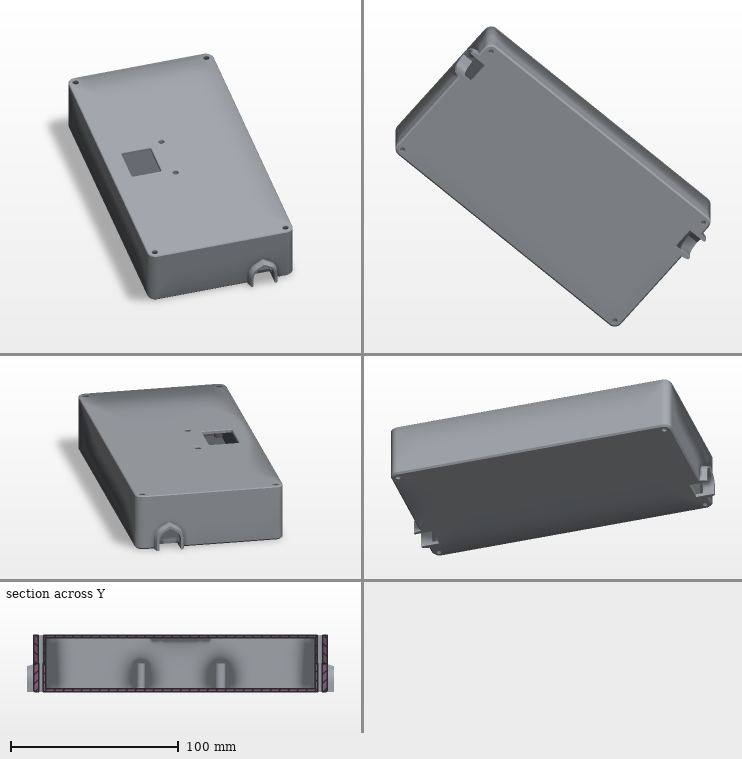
import cadquery as cq
import math

OVERALL_LENGTH = 183
LENGTH = 175.1
WIDTH = 90.0
HEIGHT = 34.0
SEAM_HEIGHT = 17.0
CORNER_RADIUS = 5.0
TOP_CHAMFER = 0.5
BOTTOM_CHAMFER = 1.0

WALL = 3.0
SKIN = 2.0

SCREW_INSET = 4.4
LID_SCREW_DIAMETER = 3.5
BASE_SCREW_DIAMETER = 3.0

PILLAR_DIAMETER = 6.0
POST_CENTRE = (-23.8, 20.0)
FLARED_POST_DIAMETER = 4.8
FLARED_POST_CENTRE = (23.6, 14.0)
POST_FLARE = (PILLAR_DIAMETER - FLARED_POST_DIAMETER) / 2

WINDOW_LENGTH = 22.9
WINDOW_WIDTH = 18.3
WINDOW_CENTRE_Y = -24.3
WINDOW_CORNER_RADIUS = 1.0
WINDOW_CHAMFER = 0.4
INDICATOR_DIAMETER = 3.5
HOLE_CHAMFER = 0.4
INDICATOR_SPACING = 30.0
INDICATOR_Y = -7.5

SPOUT_LENGTH = (OVERALL_LENGTH - LENGTH) / 2
SPOUT_Y = 25.0
SPRING_HEIGHT = 6.0
BORE_RADIUS = 6.5
BORE_DEPTH = 7.3
TIP_RADIUS = 8.0
ROOT_RADIUS = 9.2
ROOF_PITCH = math.radians(30)

HALF_LENGTH = LENGTH / 2
SCREW_X = HALF_LENGTH - SCREW_INSET
SCREW_Y = WIDTH / 2 - SCREW_INSET
INDICATOR_CENTRES = [(x, INDICATOR_Y) for x in (-INDICATOR_SPACING / 2, INDICATOR_SPACING / 2)]
SCREW_CENTRES = [(x, y) for x in (-SCREW_X, SCREW_X) for y in (-SCREW_Y, SCREW_Y)]


def rounded_block(length, width, corner_radius, bottom, top):
    block = cq.Workplane("XY").workplane(offset=bottom).rect(length, width).extrude(top - bottom)
    return block.edges("|Z").fillet(corner_radius)


def cylinders(centres, diameter, bottom, top):
    plane = cq.Workplane("XY").workplane(offset=bottom)
    return plane.pushPoints(centres).circle(diameter / 2).extrude(top - bottom)


def shell_half(bottom, top, cavity_bottom, cavity_top, chamfered_face, chamfer):
    """Hollow half of the enclosure with solid corner pillars."""
    outside = rounded_block(LENGTH, WIDTH, CORNER_RADIUS, bottom, top)
    outside = outside.faces(chamfered_face).edges().chamfer(chamfer)
    cavity = rounded_block(
        LENGTH - 2 * WALL, WIDTH - 2 * WALL, CORNER_RADIUS - WALL, cavity_bottom, cavity_top
    )
    pillars = cylinders(SCREW_CENTRES, PILLAR_DIAMETER, cavity_bottom, cavity_top)
    return outside.cut(cavity.cut(pillars))


def arch(plane, radius):
    """Pointed arch outline: straight legs, round shoulders and a pitched roof tangent to them."""
    shoulder_y = radius * math.sin(ROOF_PITCH)
    shoulder_z = SPRING_HEIGHT + radius * math.cos(ROOF_PITCH)
    haunch_angle = (math.pi / 2 - ROOF_PITCH) / 2
    haunch_y = radius * math.cos(haunch_angle)
    haunch_z = SPRING_HEIGHT + radius * math.sin(haunch_angle)
    apex_z = SPRING_HEIGHT + radius / math.cos(ROOF_PITCH)
    return (
        plane.moveTo(SPOUT_Y - radius, 0)
        .lineTo(SPOUT_Y - radius, SPRING_HEIGHT)
        .threePointArc((SPOUT_Y - haunch_y, haunch_z), (SPOUT_Y - shoulder_y, shoulder_z))
        .lineTo(SPOUT_Y, apex_z)
        .lineTo(SPOUT_Y + shoulder_y, shoulder_z)
        .threePointArc((SPOUT_Y + haunch_y, haunch_z), (SPOUT_Y + radius, SPRING_HEIGHT))
        .lineTo(SPOUT_Y + radius, 0)
        .close()
    )


def spout():
    """Flared arch on the +X end, from inside the wall to its tip."""
    root = arch(cq.Workplane("YZ").workplane(offset=HALF_LENGTH), ROOT_RADIUS)
    flare = arch(root.workplane(offset=SPOUT_LENGTH), TIP_RADIUS).loft(ruled=True)
    stub = arch(cq.Workplane("YZ").workplane(offset=HALF_LENGTH - WALL), ROOT_RADIUS).extrude(WALL)
    return flare.union(stub)


def spout_bore():
    """Arched opening through the +X spout, the wall and the floor under it."""
    start = cq.Workplane("YZ").workplane(offset=HALF_LENGTH - BORE_DEPTH)
    return arch(start, BORE_RADIUS).extrude(BORE_DEPTH + SPOUT_LENGTH)


def flared_post():
    """Post with a conical foot where it meets the floor."""
    foot = cq.Workplane("XY").workplane(offset=SKIN).center(*FLARED_POST_CENTRE)
    foot = foot.circle(PILLAR_DIAMETER / 2).extrude(POST_FLARE, taper=45)
    return foot.union(cylinders([FLARED_POST_CENTRE], FLARED_POST_DIAMETER, SKIN, SEAM_HEIGHT))


def make_base():
    base = shell_half(0, SEAM_HEIGHT, SKIN, SEAM_HEIGHT, "<Z", BOTTOM_CHAMFER)
    base = base.union(spout()).union(spout().mirror("YZ"))
    base = base.cut(spout_bore()).cut(spout_bore().mirror("YZ"))
    base = base.union(cylinders([POST_CENTRE], PILLAR_DIAMETER, SKIN, SEAM_HEIGHT))
    base = base.union(flared_post())
    return base.cut(cylinders(SCREW_CENTRES, BASE_SCREW_DIAMETER, 0, SEAM_HEIGHT))


def cut_window(lid):
    """Rounded rectangular opening through the lid's skin, with its top rim chamfered."""
    window = rounded_block(WINDOW_LENGTH, WINDOW_WIDTH, WINDOW_CORNER_RADIUS, HEIGHT - SKIN, HEIGHT)
    window = window.translate((0, WINDOW_CENTRE_Y, 0))
    lid = lid.cut(window)
    lower_corner = (-WINDOW_LENGTH, WINDOW_CENTRE_Y - WINDOW_WIDTH / 2 - WALL, HEIGHT - WINDOW_CHAMFER)
    upper_corner = (WINDOW_LENGTH, WINDOW_CENTRE_Y + WINDOW_WIDTH / 2 + WALL, HEIGHT + WINDOW_CHAMFER)
    rim = cq.selectors.BoxSelector(lower_corner, upper_corner)
    return lid.edges(rim).chamfer(WINDOW_CHAMFER)


def cut_chamfered_holes(lid, centres, diameter):
    """Round holes through the lid's full height, with their top rims chamfered."""
    rims = cq.Workplane("XY").workplane(offset=HEIGHT).pushPoints(centres)
    rims = rims.circle(diameter / 2 + HOLE_CHAMFER).extrude(-HOLE_CHAMFER, taper=45)
    return lid.cut(cylinders(centres, diameter, SEAM_HEIGHT, HEIGHT)).cut(rims)


def make_lid():
    lid = shell_half(SEAM_HEIGHT, HEIGHT, SEAM_HEIGHT, HEIGHT - SKIN, ">Z", TOP_CHAMFER)
    lid = cut_window(lid)
    lid = cut_chamfered_holes(lid, INDICATOR_CENTRES, INDICATOR_DIAMETER)
    return cut_chamfered_holes(lid, SCREW_CENTRES, LID_SCREW_DIAMETER)


base = make_base()
lid = make_lid()
result = cq.Compound.makeCompound([base.val(), lid.val()])